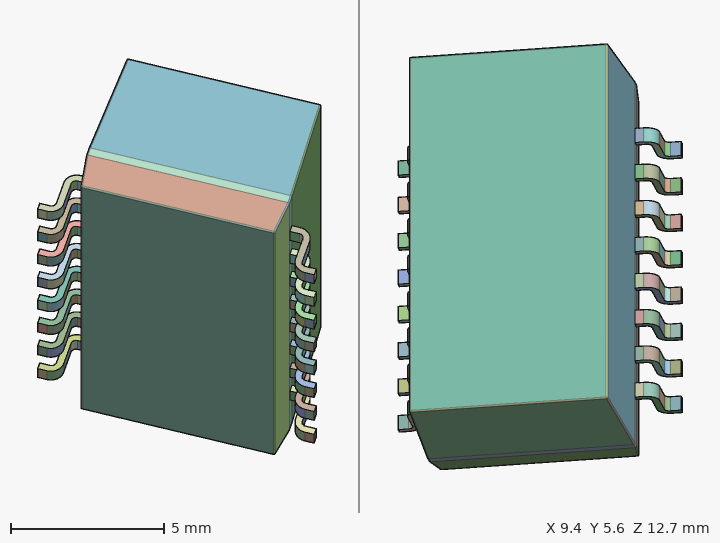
import cadquery as cq

BODY_WIDTH = 6.9
BODY_HEIGHT = 12.7
DRAFT_INSET = 0.15
EDGE_RADIUS = 0.05
FRONT_DEPTH = 1.18
BELT_DEPTH = 0.29
BACK_DEPTH = 3.91

LEAD_SPAN = 9.4
LEAD_COUNT = 8
LEAD_PITCH = 1.27
LEAD_WIDTH = 0.5
LEAD_THICKNESS = 0.24
FOOT_LENGTH = 0.32
BEND_INNER_RADIUS = 0.17
BEND_OUTER_RADIUS = 0.45
LEAD_EMBED = 0.25
STANDOFF = 0.22

FRONT_Y = STANDOFF
BELT_FRONT_Y = FRONT_Y + FRONT_DEPTH
BELT_BACK_Y = BELT_FRONT_Y + BELT_DEPTH
BACK_Y = BELT_BACK_Y + BACK_DEPTH


def belt_outline(y):
    """Full-size rectangular body outline, placed at depth y."""
    return cq.Workplane("XZ", origin=(0, y, 0)).rect(BODY_WIDTH, BODY_HEIGHT)


def drafted_block(belt_y, face_y):
    """Block tapering from the belt outline to a smaller end face."""
    return (
        belt_outline(belt_y)
        .workplane(offset=belt_y - face_y)
        .rect(BODY_WIDTH - 2 * DRAFT_INSET, BODY_HEIGHT - 2 * DRAFT_INSET)
        .loft(ruled=True)
    )


def make_body():
    front = drafted_block(BELT_FRONT_Y, FRONT_Y)
    back = drafted_block(BELT_BACK_Y, BACK_Y)
    belt = belt_outline(BELT_BACK_Y).extrude(BELT_DEPTH)
    block = belt.union(front).union(back)
    return block.edges("(not #Y) or <Y or >Y").fillet(EDGE_RADIUS)


def make_lead():
    """Left-hand lead centred on Z = 0: foot, outward bend, leg, inward bend, shoulder."""
    foot_tip_x = -LEAD_SPAN / 2
    foot_bend_x = foot_tip_x + FOOT_LENGTH
    leg_inner_x = foot_bend_x + BEND_OUTER_RADIUS
    leg_outer_x = leg_inner_x - LEAD_THICKNESS
    foot_inner_bend_x = leg_outer_x - BEND_INNER_RADIUS
    shoulder_bend_x = leg_outer_x + BEND_OUTER_RADIUS
    shoulder_inner_bend_x = leg_inner_x + BEND_INNER_RADIUS
    shoulder_end_x = -BODY_WIDTH / 2 + LEAD_EMBED
    shoulder_front_y = BELT_BACK_Y - LEAD_THICKNESS
    return (
        cq.Workplane("XY", origin=(0, 0, -LEAD_WIDTH / 2))
        .moveTo(foot_tip_x, 0)
        .lineTo(foot_bend_x, 0)
        .radiusArc((leg_inner_x, BEND_OUTER_RADIUS), -BEND_OUTER_RADIUS)
        .lineTo(leg_inner_x, shoulder_front_y - BEND_INNER_RADIUS)
        .radiusArc((shoulder_inner_bend_x, shoulder_front_y), BEND_INNER_RADIUS)
        .lineTo(shoulder_end_x, shoulder_front_y)
        .lineTo(shoulder_end_x, BELT_BACK_Y)
        .lineTo(shoulder_bend_x, BELT_BACK_Y)
        .radiusArc((leg_outer_x, BELT_BACK_Y - BEND_OUTER_RADIUS), -BEND_OUTER_RADIUS)
        .lineTo(leg_outer_x, LEAD_THICKNESS + BEND_INNER_RADIUS)
        .radiusArc((foot_inner_bend_x, LEAD_THICKNESS), BEND_INNER_RADIUS)
        .lineTo(foot_tip_x, LEAD_THICKNESS)
        .close()
        .extrude(LEAD_WIDTH)
    )


def add_leads(body):
    left_lead = make_lead()
    right_lead = left_lead.mirror("YZ")
    lowest_z = -LEAD_PITCH * (LEAD_COUNT - 1) / 2
    for index in range(LEAD_COUNT):
        offset = (0, 0, lowest_z + index * LEAD_PITCH)
        body = body.union(left_lead.translate(offset))
        body = body.union(right_lead.translate(offset))
    return body


result = add_leads(make_body())